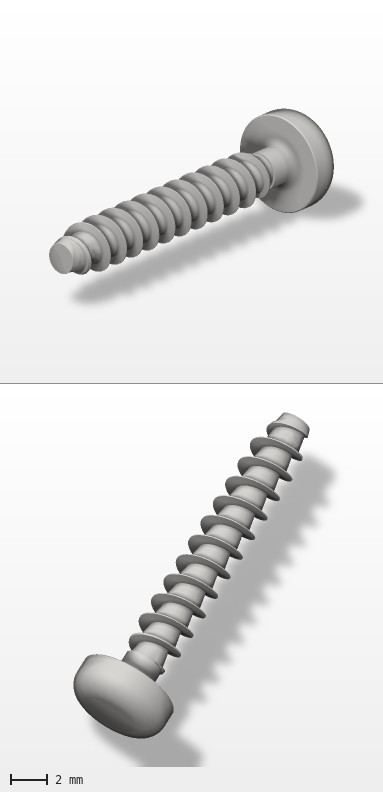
import cadquery as cq

total_length = 20.1

head_diameter = 5.6
head_radius = head_diameter / 2
head_height = 2.1
crown_radius = 1.13
rim_chamfer = 0.06

neck_radius = 1.09
neck_fillet = 0.48
neck_end = 3.62

thread_radius = 1.5
root_low_radius = 0.85
root_high_radius = 1.03
root_end_radius = 0.82
buried_radius = 0.76
pitch = 13.39 / 10
crest_half_width = 0.03
head_flank_width = 0.15
tip_flank_width = 0.15
root_gap = 0.02
first_crest = 4.36
lead_in_turns = 2
thread_turns = 14

start_radius = 1.19
growth_length = 1.4
fade_length = 2.07
faded_radius = 0.86
cutter_radius = 2.41
cutter_seam_angle = 137


def make_body():
    """Head, filleted neck and plain core as one turned solid."""
    rim_start = head_height - rim_chamfer
    fillet_end = head_height + neck_fillet
    return (
        cq.Workplane("XZ")
        .lineTo(head_radius - crown_radius, 0)
        .radiusArc((head_radius, crown_radius), -crown_radius)
        .lineTo(head_radius, rim_start)
        .lineTo(head_radius - rim_chamfer, head_height)
        .lineTo(neck_radius + neck_fillet, head_height)
        .radiusArc((neck_radius, fillet_end), neck_fillet)
        .lineTo(neck_radius, neck_end)
        .lineTo(root_low_radius, neck_end)
        .lineTo(root_low_radius, total_length)
        .lineTo(0, total_length)
        .close()
        .revolve(360, (0, 0, 0), (0, 1, 0))
    )


def make_thread():
    """Thread ridge together with the sloping root that follows it."""
    sweep_start = first_crest - lead_in_turns * pitch
    root_end = pitch - head_flank_width - root_gap
    helix = cq.Wire.makeHelix(pitch, thread_turns * pitch, root_low_radius)
    path = cq.Workplane(obj=helix)
    ridge = (
        cq.Workplane("XZ")
        .polyline([
            (buried_radius, -head_flank_width),
            (thread_radius, -crest_half_width),
            (thread_radius, crest_half_width),
            (root_high_radius, tip_flank_width),
            (root_end_radius, root_end),
            (buried_radius, root_end),
        ])
        .close()
        .sweep(path, isFrenet=True)
    )
    return ridge.translate((0, 0, sweep_start))


def make_end_cutter(end_radius, cone_length, waste_length):
    """Block with a conical recess, measured from the thread end at z = 0.

    The recess widens from end_radius along +Z and reaches thread_radius after cone_length.
    """
    cone_slope = (thread_radius - end_radius) / cone_length
    cone_height = (cutter_radius - end_radius) / cone_slope
    return (
        cq.Workplane("XZ")
        .polyline([
            (0, -waste_length),
            (cutter_radius, -waste_length),
            (cutter_radius, cone_height),
            (end_radius, 0),
            (0, 0),
        ])
        .close()
        .revolve(360, (0, 0, 0), (0, 1, 0))
        .rotate((0, 0, 0), (0, 0, 1), cutter_seam_angle)
    )


def make_threaded_core():
    """Core cylinder joined to the thread and trimmed at both ends."""
    core = cq.Workplane().circle(root_low_radius).extrude(total_length + pitch)
    core = core.rotate((0, 0, 0), (0, 0, 1), cutter_seam_angle)
    start_cutter = make_end_cutter(start_radius, growth_length, neck_end)
    start_cutter = start_cutter.translate((0, 0, neck_end))
    tip_cutter = make_end_cutter(faded_radius, fade_length, 2 * pitch)
    tip_cutter = tip_cutter.rotate((0, 0, 0), (1, 0, 0), 180).translate((0, 0, total_length))
    return (
        make_thread()
        .union(core, clean=False)
        .cut(start_cutter, clean=False)
        .cut(tip_cutter, clean=False)
    )


screw = make_threaded_core().union(make_body(), clean=False)
result = screw.rotate((0, 0, 0), (1, 0, 0), 90)